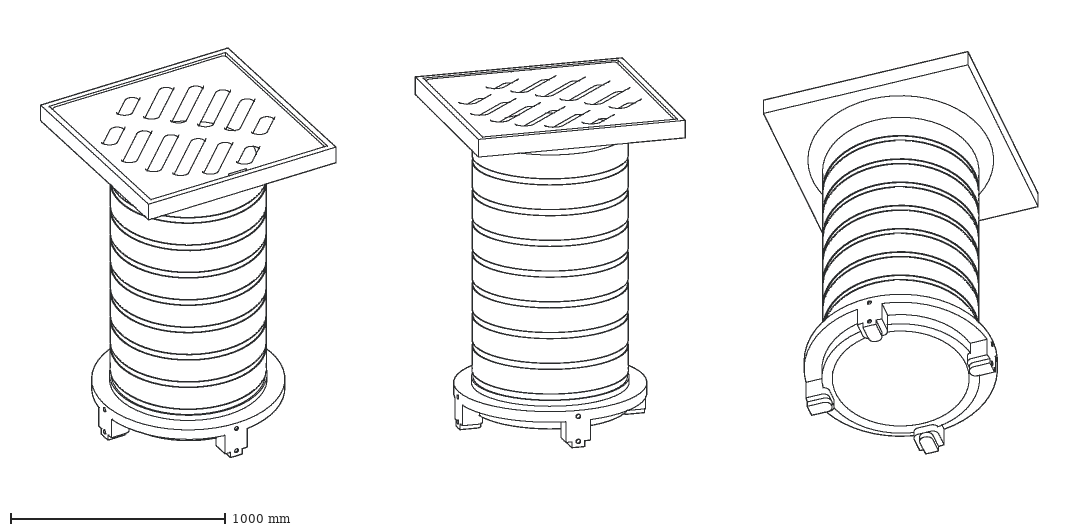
import cadquery as cq
import math

frame_side = 1010.0
top_z = 1570.0

frame_height = 86.0
rim_wall = 30.0
grate_thickness = 41.0
seat_z = top_z - grate_thickness
seat_side = frame_side - 2 * rim_wall

shaft_radius = 730.0 / 2
spigot_radius = 736.0 / 2
groove_radius = 720.0 / 2
bore_radius = 639.0 / 2
shaft_bottom_z = 69.0
frame_bottom_z = top_z - frame_height
funnel_top_radius = 433.0
funnel_bottom_z = 1410.0
funnel_mouth_radius = 900.0 / 2
funnel_throat_z = seat_z - (funnel_mouth_radius - bore_radius)
groove_count = 8
groove_width = 30.0
highest_groove_z = 1262.0
lowest_groove_z = 209.0
groove_pitch = (highest_groove_z - lowest_groove_z) / (groove_count - 1)

grate_gap = 2.0
grate_side = seat_side - 2 * grate_gap
edge_rounding = 25.0
slot_width = 70.0
slot_rounding = 25.0
slot_rows = 6
slot_pitch = 130.0
slot_inner_center = 66.0
slot_field_radius = 385.0
slot_angle = -45
notch_length = 95.0
notch_depth = 15.0

ring_radius = 903.0 / 2
ring_top_z = 180.0
ring_bottom_z = 129.0
foot_count = 4
foot_inner_radius = 340.0
foot_width = 121.0
foot_rounding = 30.0
toe_width = 65.0
toe_height = 28.0
foot_hole_diameter = 20.0
foot_hole_depth = 8.0
foot_hole_heights = (toe_height, 150.0)


def cylinder(radius, bottom_z, height):
    return cq.Workplane("XY").workplane(offset=bottom_z).circle(radius).extrude(height)


def square_plate(side, bottom_z, height):
    return cq.Workplane("XY").workplane(offset=bottom_z).rect(side, side).extrude(height)


def make_frame():
    """Square frame, funnel and grooved shaft in one piece."""
    outside = (
        cq.Workplane("XZ")
        .moveTo(0, shaft_bottom_z)
        .lineTo(spigot_radius, shaft_bottom_z)
        .lineTo(spigot_radius, lowest_groove_z)
        .lineTo(shaft_radius, lowest_groove_z)
        .lineTo(shaft_radius, funnel_bottom_z)
        .lineTo(funnel_top_radius, frame_bottom_z)
        .lineTo(0, frame_bottom_z)
        .close()
        .revolve(360, (0, 0, 0), (0, 1, 0))
    )
    frame = outside.union(square_plate(frame_side, frame_bottom_z, frame_height))

    passage = (
        cq.Workplane("XZ")
        .moveTo(0, shaft_bottom_z)
        .lineTo(bore_radius, shaft_bottom_z)
        .lineTo(bore_radius, funnel_throat_z)
        .lineTo(funnel_mouth_radius, seat_z)
        .lineTo(0, seat_z)
        .close()
        .revolve(360, (0, 0, 0), (0, 1, 0))
    )
    frame = frame.cut(passage).cut(square_plate(seat_side, seat_z, grate_thickness))

    for index in range(groove_count):
        groove_z = lowest_groove_z + index * groove_pitch
        groove = cylinder(spigot_radius, groove_z, groove_width).cut(
            cylinder(groove_radius, groove_z, groove_width)
        )
        frame = frame.cut(groove)
    return frame


def make_slots():
    """Tools for all the slots, six on each side of the grate's diagonal."""
    slots = cq.Workplane("XY")
    for row in range(slot_rows):
        offset = (row - (slot_rows - 1) / 2) * slot_pitch
        slot_outer_center = math.sqrt(slot_field_radius**2 - offset**2)
        slot_length = slot_outer_center - slot_inner_center + slot_width
        slot_middle = (slot_outer_center + slot_inner_center) / 2
        slot_pair = (
            cq.Workplane("XY")
            .workplane(offset=seat_z)
            .transformed(rotate=(0, 0, slot_angle))
            .pushPoints([(-slot_middle, offset), (slot_middle, offset)])
            .slot2D(slot_length, slot_width)
            .extrude(grate_thickness)
        )
        slots = slots.add(slot_pair)
    return slots.combine()


def make_grate():
    """Slotted plate lying in the frame, with rounded corners, top border and slot rims."""
    rounded_plate = (
        square_plate(grate_side, seat_z, grate_thickness)
        .edges("|Z or >Z")
        .fillet(edge_rounding)
    )
    slotted_plate = square_plate(grate_side, seat_z, grate_thickness).cut(make_slots())
    slot_rims = [
        edge
        for wire in slotted_plate.faces(">Z").val().innerWires()
        for edge in wire.Edges()
    ]
    slotted_plate = slotted_plate.newObject(slot_rims).fillet(slot_rounding)
    grate = rounded_plate.intersect(slotted_plate)

    notch = (
        cq.Workplane("XY")
        .workplane(offset=seat_z)
        .center((grate_side - notch_depth) / 2, 0)
        .rect(notch_depth, notch_length)
        .extrude(grate_thickness)
    )
    return grate.cut(notch)


def foot_step(width, height, rounding):
    """Radial bar along +X with a rounded inner end, reaching up from the ground."""
    length = ring_radius - foot_inner_radius
    return (
        cq.Workplane("XY")
        .center(foot_inner_radius + length / 2, 0)
        .rect(length, width)
        .extrude(height)
        .edges("|Z and <X")
        .fillet(rounding)
    )


def make_foot():
    """One foot along +X: a wide block standing on a narrower toe."""
    block = foot_step(foot_width, ring_top_z, foot_rounding).cut(
        square_plate(2 * ring_radius, 0, toe_height)
    )
    return block.union(foot_step(toe_width, toe_height, foot_rounding))


def make_base():
    """Ring with four feet; the shaft stands on the inner ends of the feet."""
    base = cylinder(ring_radius, ring_bottom_z, ring_top_z - ring_bottom_z)
    foot_holes = cq.Workplane("XY")
    for index in range(foot_count):
        angle = index * 360 / foot_count
        base = base.union(make_foot().rotate((0, 0, 0), (0, 0, 1), angle))
        for hole_z in foot_hole_heights:
            hole = (
                cq.Workplane("YZ")
                .workplane(offset=ring_radius - foot_hole_depth)
                .center(0, hole_z)
                .circle(foot_hole_diameter / 2)
                .extrude(2 * foot_hole_depth)
            )
            foot_holes = foot_holes.add(hole.rotate((0, 0, 0), (0, 0, 1), angle))

    base = base.intersect(cylinder(ring_radius, 0, ring_top_z))
    base = base.cut(cylinder(spigot_radius, shaft_bottom_z, ring_top_z))
    for hole in foot_holes.vals():
        base = base.cut(cq.Workplane(hole))
    return base


frame = make_frame()
grate = make_grate()
base = make_base()

result = cq.Compound.makeCompound([frame.val(), grate.val(), base.val()])